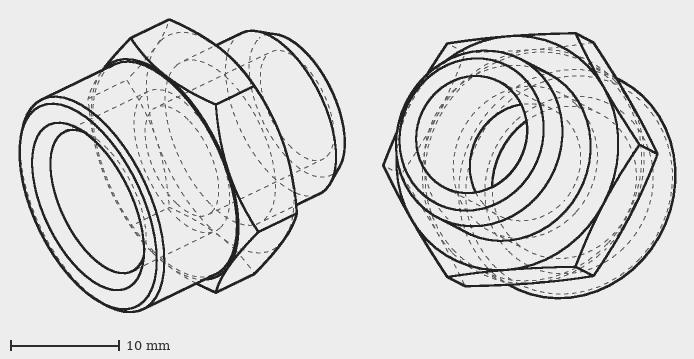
import cadquery as cq
import math


hex_across_flats = 22.0
hex_width = 6.5
hex_chamfer_angle = math.radians(30)

socket_diameter = 21.5
socket_length = 9.0
socket_edge_chamfer = 0.5

spigot_diameter = 16.5
spigot_tip_diameter = 14.3
spigot_length = 9.0
spigot_taper_angle = math.radians(30)

through_bore_diameter = 11.0
socket_bore_diameter = 14.3
socket_bore_depth = 11.0
mouth_chamfer = 1.2

hex_across_corners = hex_across_flats / math.cos(math.radians(30))
hex_start = socket_length
hex_end = hex_start + hex_width
total_length = hex_end + spigot_length
spigot_taper_length = (spigot_diameter - spigot_tip_diameter) / 2 / math.tan(spigot_taper_angle)


def turned(profile):
    """Revolve a closed outline of (radius, y) points about the Y axis."""
    return cq.Workplane("XY").polyline(profile).close().revolve(360, (0, 0, 0), (0, 1, 0))


def hex_collar():
    """Hexagon with corners on the X axis, both ends turned to a cone."""
    prism = (
        cq.Workplane("XZ", origin=(0, hex_end, 0))
        .polygon(6, hex_across_corners)
        .extrude(hex_width)
    )
    face_radius = hex_across_flats / 2
    corner_radius = hex_across_corners / 2
    corner_drop = (corner_radius - face_radius) * math.tan(hex_chamfer_angle)
    envelope = turned([
        (0, hex_start),
        (face_radius, hex_start),
        (corner_radius, hex_start + corner_drop),
        (corner_radius, hex_end - corner_drop),
        (face_radius, hex_end),
        (0, hex_end),
    ])
    return prism.intersect(envelope)


def socket_body():
    """Large cylinder with a small chamfer around its mouth end."""
    radius = socket_diameter / 2
    return turned([
        (0, 0),
        (radius - socket_edge_chamfer, 0),
        (radius, socket_edge_chamfer),
        (radius, hex_start),
        (0, hex_start),
    ])


def spigot_body():
    """Small cylinder with a tapered tip."""
    radius = spigot_diameter / 2
    return turned([
        (0, hex_end),
        (radius, hex_end),
        (radius, total_length - spigot_taper_length),
        (spigot_tip_diameter / 2, total_length),
        (0, total_length),
    ])


def stepped_bore():
    """Conical mouth, socket bore and the narrower bore through the spigot."""
    socket_bore_radius = socket_bore_diameter / 2
    through_bore_radius = through_bore_diameter / 2
    return turned([
        (0, 0),
        (socket_bore_radius + mouth_chamfer, 0),
        (socket_bore_radius, mouth_chamfer),
        (socket_bore_radius, socket_bore_depth),
        (through_bore_radius, socket_bore_depth),
        (through_bore_radius, total_length),
        (0, total_length),
    ])


body = hex_collar().union(socket_body()).union(spigot_body()).cut(stepped_bore())

result = body.translate((0, -total_length / 2, 0))